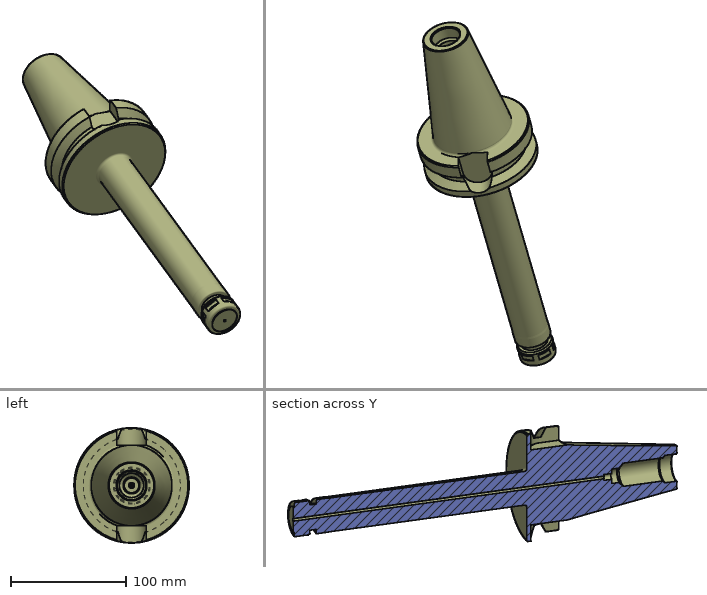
import cadquery as cq
import math

overall_length = 356.8
gauge_x = 101.7
flange_front_x = 105.0
flange_back_x = 140.0
tip_step_start_x = 323.5
tip_step_end_x = 325.8
shank_end_x = 335.5
nut_start_x = 341.0
nut_end_x = 356.0

taper_rate = 7 / 24
gauge_diameter = 70.0
taper_small_diameter = gauge_diameter - taper_rate * gauge_x
taper_edge_chamfer = 0.7

flange_diameter = 100.0
flange_chamfer = 1.0
flange_root_fillet = 2.0
groove_centre_x = 125.0
groove_floor_width = 6.5
groove_floor_diameter = 84.2
groove_half_angle = 30.0

slot_width = 25.7
slot_floor_height = 35.0
slot_end_x = 135.5

shank_diameter = 31.8
shank_tip_diameter = 32.0
shank_root_fillet = 2.0
shank_end_fillet = 1.0
neck_diameter = 24.0

nut_diameter = 32.0
nut_rear_chamfer_radial = 1.0
nut_rear_chamfer_length = 1.8
nut_front_fillet = 1.8
collet_diameter = 24.0
flat_count = 6
flat_distance = 15.0
flat_start_x = 344.5
flat_end_x = 349.5

bore_mouth_diameter = 26.8
guide_diameter = 25.0
guide_depth = 11.5
thread_diameter = 21.0
thread_depth = 50.0
drill_point_diameter = 14.5
pocket_diameter = 13.0
pocket_depth = 60.5
nozzle_diameter = 5.0
nozzle_depth = 67.8
coolant_diameter = 2.0


def corner_midpoint(centre_x, centre_radius, fillet, along, outward):
    """Middle of a quarter-round; along and outward (+1 or -1) point from its centre to the arc."""
    offset = fillet * math.sqrt(0.5)
    return (centre_x + along * offset, centre_radius + outward * offset)


def holder_body():
    """Taper, flange, shank, neck, nut and collet as one turned solid."""
    taper_radius = taper_small_diameter / 2
    gauge_radius = gauge_diameter / 2
    flange_radius = flange_diameter / 2
    groove_radius = groove_floor_diameter / 2
    shank_radius = shank_diameter / 2
    tip_radius = shank_tip_diameter / 2
    neck_radius = neck_diameter / 2
    nut_radius = nut_diameter / 2
    collet_radius = collet_diameter / 2

    half_floor = groove_floor_width / 2
    groove_run = (flange_radius - groove_radius) * math.tan(math.radians(groove_half_angle))
    half_mouth = half_floor + groove_run

    flange_root_x = flange_front_x - flange_root_fillet
    flange_root_radius = gauge_radius + flange_root_fillet
    shank_root_x = flange_back_x + shank_root_fillet
    shank_root_radius = shank_radius + shank_root_fillet
    tip_round_x = shank_end_x - shank_end_fillet
    tip_round_radius = tip_radius - shank_end_fillet
    nut_round_x = nut_end_x - nut_front_fillet
    nut_round_radius = nut_radius - nut_front_fillet

    outline = (
        cq.Workplane("XY")
        .lineTo(0, taper_radius - taper_edge_chamfer)
        .lineTo(taper_edge_chamfer, taper_radius + taper_edge_chamfer * taper_rate / 2)
        .lineTo(gauge_x, gauge_radius)
        .lineTo(flange_root_x, gauge_radius)
        .threePointArc(
            corner_midpoint(flange_root_x, flange_root_radius, flange_root_fillet, 1, -1),
            (flange_front_x, flange_root_radius),
        )
        .lineTo(flange_front_x, flange_radius - flange_chamfer)
        .lineTo(flange_front_x + flange_chamfer, flange_radius)
        .lineTo(groove_centre_x - half_mouth, flange_radius)
        .lineTo(groove_centre_x - half_floor, groove_radius)
        .lineTo(groove_centre_x + half_floor, groove_radius)
        .lineTo(groove_centre_x + half_mouth, flange_radius)
        .lineTo(flange_back_x - flange_chamfer, flange_radius)
        .lineTo(flange_back_x, flange_radius - flange_chamfer)
        .lineTo(flange_back_x, shank_root_radius)
        .threePointArc(
            corner_midpoint(shank_root_x, shank_root_radius, shank_root_fillet, -1, -1),
            (shank_root_x, shank_radius),
        )
        .lineTo(tip_step_start_x, shank_radius)
        .lineTo(tip_step_end_x, tip_radius)
        .lineTo(tip_round_x, tip_radius)
        .threePointArc(
            corner_midpoint(tip_round_x, tip_round_radius, shank_end_fillet, 1, 1),
            (shank_end_x, tip_round_radius),
        )
        .lineTo(shank_end_x, neck_radius)
        .lineTo(nut_start_x, neck_radius)
        .lineTo(nut_start_x, nut_radius - nut_rear_chamfer_radial)
        .lineTo(nut_start_x + nut_rear_chamfer_length, nut_radius)
        .lineTo(nut_round_x, nut_radius)
        .threePointArc(
            corner_midpoint(nut_round_x, nut_round_radius, nut_front_fillet, 1, 1),
            (nut_end_x, nut_round_radius),
        )
        .lineTo(nut_end_x, collet_radius)
        .lineTo(overall_length, collet_radius)
        .lineTo(overall_length, 0)
        .close()
    )
    return outline.revolve(360, (0, 0, 0), (1, 0, 0))


def drive_slot():
    """Round-ended cutter for the slot on the +Z side of the flange."""
    end_radius = slot_width / 2
    straight_end_x = slot_end_x - end_radius
    return (
        cq.Workplane("XY", origin=(0, 0, slot_floor_height))
        .moveTo(gauge_x, -end_radius)
        .lineTo(straight_end_x, -end_radius)
        .threePointArc((slot_end_x, 0), (straight_end_x, end_radius))
        .lineTo(gauge_x, end_radius)
        .close()
        .extrude(flange_diameter / 2)
    )


def nut_flat():
    """Block whose inner face cuts one wrench flat on the +Y side of the nut."""
    return (
        cq.Workplane("XY", origin=(flat_start_x, flat_distance, 0))
        .box(flat_end_x - flat_start_x, nut_diameter, nut_diameter, centered=(False, False, True))
    )


def pull_stud_bore():
    """Stepped bore with 45 degree cones between its diameters, except at the flat pocket floors."""
    mouth_radius = bore_mouth_diameter / 2
    guide_radius = guide_diameter / 2
    thread_radius = thread_diameter / 2
    drill_point_radius = drill_point_diameter / 2
    pocket_radius = pocket_diameter / 2
    nozzle_radius = nozzle_diameter / 2
    coolant_radius = coolant_diameter / 2
    drill_point_depth = thread_depth + thread_radius - drill_point_radius
    outline = [
        (0, 0),
        (0, mouth_radius),
        (mouth_radius - guide_radius, guide_radius),
        (guide_depth, guide_radius),
        (guide_depth + guide_radius - thread_radius, thread_radius),
        (thread_depth, thread_radius),
        (drill_point_depth, drill_point_radius),
        (drill_point_depth, pocket_radius),
        (pocket_depth, pocket_radius),
        (pocket_depth, nozzle_radius),
        (nozzle_depth, nozzle_radius),
        (nozzle_depth, coolant_radius),
        (overall_length, coolant_radius),
        (overall_length, 0),
    ]
    return cq.Workplane("XY").polyline(outline).close().revolve(360, (0, 0, 0), (1, 0, 0))


result = holder_body().cut(pull_stud_bore())

for angle in (0, 180):
    result = result.cut(drive_slot().rotate((0, 0, 0), (1, 0, 0), angle))

for index in range(flat_count):
    result = result.cut(nut_flat().rotate((0, 0, 0), (1, 0, 0), index * 360 / flat_count))